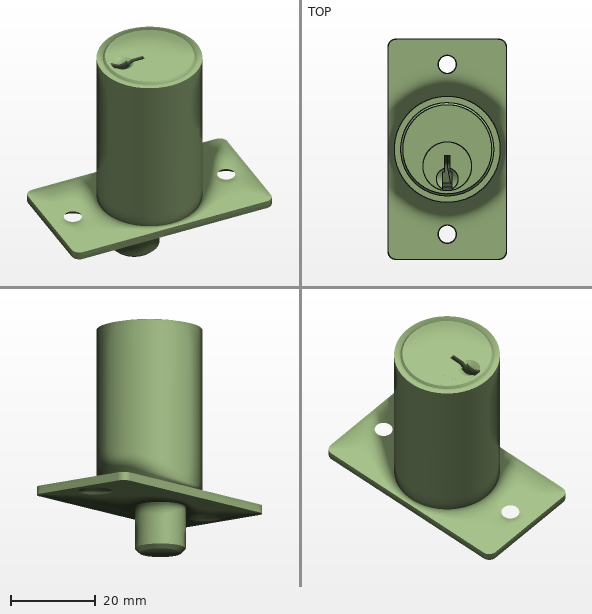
import cadquery as cq
import math

OVERALL_HEIGHT = 53.5

PLATE_WIDTH = 28.0
PLATE_LENGTH = 52.0
PLATE_THICKNESS = 2.0
PLATE_CORNER_RADIUS = 2.0
SCREW_HOLE_DIAMETER = 4.2
SCREW_HOLE_SPACING = 40.0

HOUSING_DIAMETER = 25.0
CORE_DIAMETER = 22.0
CORE_RISE = 0.5

LOCK_AXIS_Y = -4.0
PLUG_DIAMETER = 11.5
BOLT_DIAMETER = 12.0
BOLT_PROJECTION = 11.0
BOLT_CHAMFER = 1.0

LEAD_IN_RADIUS = 2.55
LEAD_IN_Y = -7.0
LEAD_IN_SLOPE = 35.0
KEYWAY_BACK_Y = -1.5
KEYWAY_SHOULDER_Y = -5.4
NARROW_WIDTH = 1.25
WIDE_WIDTH = 2.25
KEYWAY_OVERRUN = 0.55

LEDGE_BACK_Y = -8.95
LANDING_BACK_Y = -7.9
LEDGE_DEPTH = 6.4
LANDING_DEPTH = 7.5
VALLEY_Y = -3.75
VALLEY_DEPTH = 10.7
VALLEY_RADIUS = 0.8
BACK_WALL_DEPTH = 8.55
STRIP_DROP = 0.25
STRIP_FRONT_X = 0.75

HOUSING_TOP_Z = OVERALL_HEIGHT - BOLT_PROJECTION - CORE_RISE
TOP_Z = HOUSING_TOP_Z + CORE_RISE
KEYWAY_FRONT_Y = LOCK_AXIS_Y - PLUG_DIAMETER / 2 - KEYWAY_OVERRUN


def cylinder(diameter, bottom_z, top_z, center_y=0.0):
    """Upright cylinder between two levels, centred on X = 0."""
    return (
        cq.Workplane("XY", origin=(0, center_y, bottom_z))
        .circle(diameter / 2)
        .extrude(top_z - bottom_z)
    )


def make_countersink(center_y):
    """Conical screw hole through the plate, widening towards its underside."""
    top_radius = SCREW_HOLE_DIAMETER / 2
    bottom_radius = top_radius + PLATE_THICKNESS
    cone = cq.Solid.makeCone(bottom_radius, top_radius, PLATE_THICKNESS, cq.Vector(0, center_y, 0))
    return cq.Workplane(cone)


def make_faceplate():
    plate = (
        cq.Workplane("XY")
        .rect(PLATE_WIDTH, PLATE_LENGTH)
        .extrude(PLATE_THICKNESS)
        .edges("|Z")
        .fillet(PLATE_CORNER_RADIUS)
    )
    for hole_y in (-SCREW_HOLE_SPACING / 2, SCREW_HOLE_SPACING / 2):
        plate = plate.cut(make_countersink(hole_y))
    return plate.cut(cylinder(BOLT_DIAMETER, 0, PLATE_THICKNESS, LOCK_AXIS_Y))


def make_housing():
    sleeve = cylinder(HOUSING_DIAMETER, PLATE_THICKNESS, HOUSING_TOP_Z)
    return sleeve.cut(cylinder(CORE_DIAMETER, PLATE_THICKNESS, HOUSING_TOP_Z))


def make_core():
    core = cylinder(CORE_DIAMETER, PLATE_THICKNESS, TOP_Z).faces(">Z").chamfer(CORE_RISE)
    return core.cut(cylinder(PLUG_DIAMETER, PLATE_THICKNESS, TOP_Z, LOCK_AXIS_Y))


def make_lead_in():
    """Conical recess that guides the key into the keyway."""
    depth = LEAD_IN_RADIUS * math.tan(math.radians(LEAD_IN_SLOPE))
    return (
        cq.Workplane("XZ", origin=(0, LEAD_IN_Y, TOP_Z))
        .polyline([(0, 0), (LEAD_IN_RADIUS, 0), (0, -depth)])
        .close()
        .revolve(360, (0, 0, 0), (0, 1, 0))
    )


def make_keyway_outline(depth):
    """Narrow slot that steps out to a wide slot, open at the plug's front."""
    half_narrow = NARROW_WIDTH / 2
    half_wide = WIDE_WIDTH / 2
    return (
        cq.Workplane("XY", origin=(0, 0, TOP_Z - depth))
        .polyline([
            (-half_narrow, KEYWAY_BACK_Y),
            (half_narrow, KEYWAY_BACK_Y),
            (half_narrow, KEYWAY_SHOULDER_Y),
            (half_wide, KEYWAY_SHOULDER_Y),
            (half_wide, KEYWAY_FRONT_Y),
            (-half_wide, KEYWAY_FRONT_Y),
            (-half_wide, KEYWAY_SHOULDER_Y),
            (-half_narrow, KEYWAY_SHOULDER_Y),
        ])
        .close()
        .extrude(depth)
    )


def make_floor_profile():
    """Side profile: two steps at the front, then a ramp into a rounded valley and up to the back wall."""
    valley = cq.selectors.NearestToPointSelector((0, VALLEY_Y, TOP_Z - VALLEY_DEPTH))
    return (
        cq.Workplane("YZ", origin=(-WIDE_WIDTH / 2, 0, TOP_Z))
        .polyline([
            (KEYWAY_FRONT_Y, 0),
            (KEYWAY_FRONT_Y, -LEDGE_DEPTH),
            (LEDGE_BACK_Y, -LEDGE_DEPTH),
            (LEDGE_BACK_Y, -LANDING_DEPTH),
            (LANDING_BACK_Y, -LANDING_DEPTH),
            (VALLEY_Y, -VALLEY_DEPTH),
            (KEYWAY_BACK_Y, -BACK_WALL_DEPTH),
            (KEYWAY_BACK_Y, 0),
        ])
        .close()
        .extrude(WIDE_WIDTH)
        .edges(valley)
        .fillet(VALLEY_RADIUS)
    )


def make_strip_outline(depth):
    """Right-hand part of the keyway floor, bounded by a line that slants from the valley to the landing."""
    half_wide = WIDE_WIDTH / 2
    return (
        cq.Workplane("XY", origin=(0, 0, TOP_Z - depth))
        .polyline([
            (0, KEYWAY_BACK_Y),
            (half_wide, KEYWAY_BACK_Y),
            (half_wide, LANDING_BACK_Y),
            (STRIP_FRONT_X, LANDING_BACK_Y),
            (0, VALLEY_Y),
        ])
        .close()
        .extrude(depth)
    )


def make_keyway():
    full_depth = VALLEY_DEPTH + STRIP_DROP
    floor = make_floor_profile()
    lowered_floor = floor.translate((0, 0, -STRIP_DROP))
    strip = lowered_floor.intersect(make_strip_outline(full_depth))
    return floor.union(strip).intersect(make_keyway_outline(full_depth))


def make_plug():
    plug = cylinder(PLUG_DIAMETER, PLATE_THICKNESS, TOP_Z, LOCK_AXIS_Y)
    return plug.cut(make_lead_in()).cut(make_keyway())


def make_bolt():
    bolt = cylinder(BOLT_DIAMETER, -BOLT_PROJECTION, PLATE_THICKNESS, LOCK_AXIS_Y)
    return bolt.faces("<Z").chamfer(BOLT_CHAMFER)


faceplate = make_faceplate()
housing = make_housing()
core = make_core()
plug = make_plug()
bolt = make_bolt()

result = cq.Compound.makeCompound([
    faceplate.val(),
    housing.val(),
    core.val(),
    plug.val(),
    bolt.val(),
])